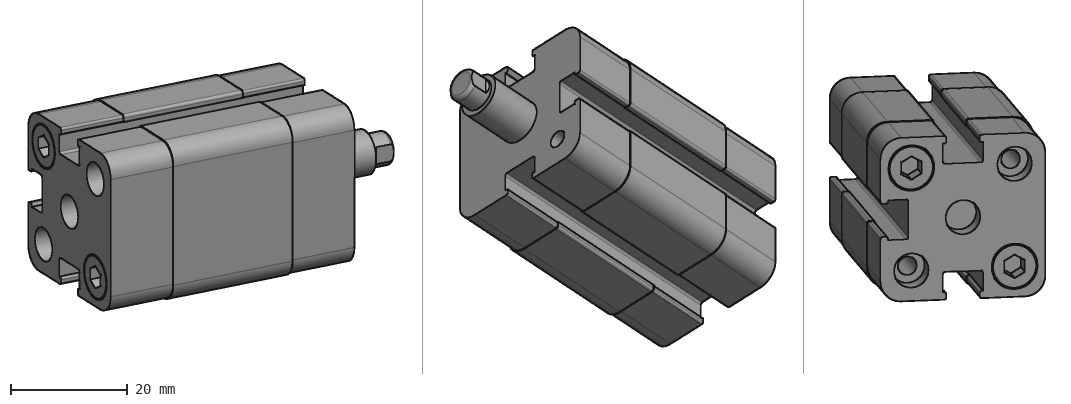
import cadquery as cq
import math


total_length = 62.5
rod_length = 10.1
rod_tip_length = 4.4
body_length = total_length - rod_length - rod_tip_length
cap_length = 12.25
barrel_length = body_length - 2 * cap_length

barrel_width = 29.05
cap_inset = 0.155
corner_radius = 3.6

slot_inner_width = 7.0
slot_floor_height = 9.5
slot_floor_radius = 0.45
lip_underside_height = 13.05
barrel_slot_mouth = 5.5
barrel_lip_radius = 0.55
lip_underside_radius = 0.4
slot_angles = (0, 180, -90)

rod_diameter = 8.0
tip_diameter = 6.0
tip_edge_radius = 0.75
flats_width = 5.1
flats_length = 3.5

hole_offset = 9.0
port_diameter = 6.0
port_depth = 3.8
through_diameter = 3.25
screw_bore_diameter = 8.0
screw_head_diameter = 7.5
screw_head_height = 4.0
hex_across_corners = 4.1
hex_depth = 3.75

mount_hole_points = [(hole_offset, hole_offset), (-hole_offset, -hole_offset)]
screw_points = [(-hole_offset, hole_offset), (hole_offset, -hole_offset)]


def section_plane(y):
    """Plane across the axis at the given Y, with local x = X and local y = Z."""
    return cq.Workplane("XZ", origin=(0, y, 0))


def arc_middle(center_x, center_z, radius, angle):
    """Point on a circle, used as the middle of a quarter arc."""
    turn = math.radians(angle)
    return (center_x + radius * math.cos(turn), center_z + radius * math.sin(turn))


def slot_cutter(y, length, half_width, mouth_half, lip_radius):
    """T-slot volume for the top side, with rounded lips and a rounded floor."""
    inner_half = slot_inner_width / 2
    floor_half = inner_half - slot_floor_radius
    floor_side = slot_floor_height + slot_floor_radius
    lip_top = half_width - lip_radius
    lip_flat = mouth_half + lip_radius
    under_flat = mouth_half + lip_underside_radius
    under_side = lip_underside_height + lip_underside_radius
    outline = (
        section_plane(y)
        .moveTo(-floor_half, slot_floor_height)
        .lineTo(floor_half, slot_floor_height)
        .threePointArc(arc_middle(floor_half, floor_side, slot_floor_radius, -45), (inner_half, floor_side))
        .lineTo(inner_half, lip_underside_height)
        .lineTo(under_flat, lip_underside_height)
        .threePointArc(arc_middle(under_flat, under_side, lip_underside_radius, 225), (mouth_half, under_side))
        .lineTo(mouth_half, lip_top)
        .threePointArc(arc_middle(lip_flat, lip_top, lip_radius, 135), (lip_flat, half_width))
        .lineTo(-lip_flat, half_width)
        .threePointArc(arc_middle(-lip_flat, lip_top, lip_radius, 45), (-mouth_half, lip_top))
        .lineTo(-mouth_half, under_side)
        .threePointArc(arc_middle(-under_flat, under_side, lip_underside_radius, -45),
                       (-under_flat, lip_underside_height))
        .lineTo(-inner_half, lip_underside_height)
        .lineTo(-inner_half, floor_side)
        .threePointArc(arc_middle(-floor_half, floor_side, slot_floor_radius, 225),
                       (-floor_half, slot_floor_height))
        .close()
    )
    return outline.extrude(-length)


def body_section(y, length, inset):
    """Length of slotted square body whose outer faces and slot mouths are set in by `inset`."""
    width = barrel_width - 2 * inset
    section = section_plane(y).rect(width, width).extrude(-length).edges("|Y").fillet(corner_radius)
    cutter = slot_cutter(y, length, width / 2, barrel_slot_mouth / 2 + inset, barrel_lip_radius - inset)
    for angle in slot_angles:
        section = section.cut(cutter.rotate((0, 0, 0), (0, 1, 0), angle))
    return section


def piston_rod():
    """Rod from the rear cap, ending in a rounded tip with flats facing -X and +X."""
    tip_start = body_length + rod_length
    rod = section_plane(body_length).circle(rod_diameter / 2).extrude(-rod_length)
    tip = section_plane(tip_start).circle(tip_diameter / 2).extrude(-rod_tip_length)
    tip = tip.faces(">Y").edges().fillet(tip_edge_radius)
    flat_half = flats_width / 2
    tip_half = tip_diameter / 2
    runout_start = total_length - flats_length
    runout_end = runout_start - (tip_half - flat_half)
    flats_envelope = (
        cq.Workplane("XY", origin=(0, 0, -tip_half))
        .moveTo(-flat_half, total_length)
        .lineTo(-flat_half, runout_start)
        .lineTo(-tip_half, runout_end)
        .lineTo(-tip_half, tip_start)
        .lineTo(tip_half, tip_start)
        .lineTo(tip_half, runout_end)
        .lineTo(flat_half, runout_start)
        .lineTo(flat_half, total_length)
        .close()
        .extrude(tip_diameter)
    )
    return rod.union(tip.intersect(flats_envelope))


def front_holes():
    """Blind center port, two counterbored through holes, and screw-head gaps with hex sockets."""
    ports = section_plane(0).pushPoints(mount_hole_points + [(0, 0)]).circle(port_diameter / 2)
    through = section_plane(0).pushPoints(mount_hole_points).circle(through_diameter / 2)
    gaps = (
        section_plane(0).pushPoints(screw_points)
        .circle(screw_bore_diameter / 2)
        .circle(screw_head_diameter / 2)
    )
    holes = ports.extrude(-port_depth)
    holes = holes.union(through.extrude(-body_length))
    holes = holes.union(gaps.extrude(-screw_head_height))
    for x, z in screw_points:
        socket = section_plane(0).polygon(6, hex_across_corners).extrude(-hex_depth)
        holes = holes.union(socket.rotate((0, 0, 0), (0, 1, 0), 90).translate((x, 0, z)))
    return holes


front_cap = body_section(0, cap_length, cap_inset)
barrel = body_section(cap_length, barrel_length, 0)
rear_cap = body_section(cap_length + barrel_length, cap_length, cap_inset)

result = front_cap.union(barrel).union(rear_cap).union(piston_rod()).cut(front_holes())